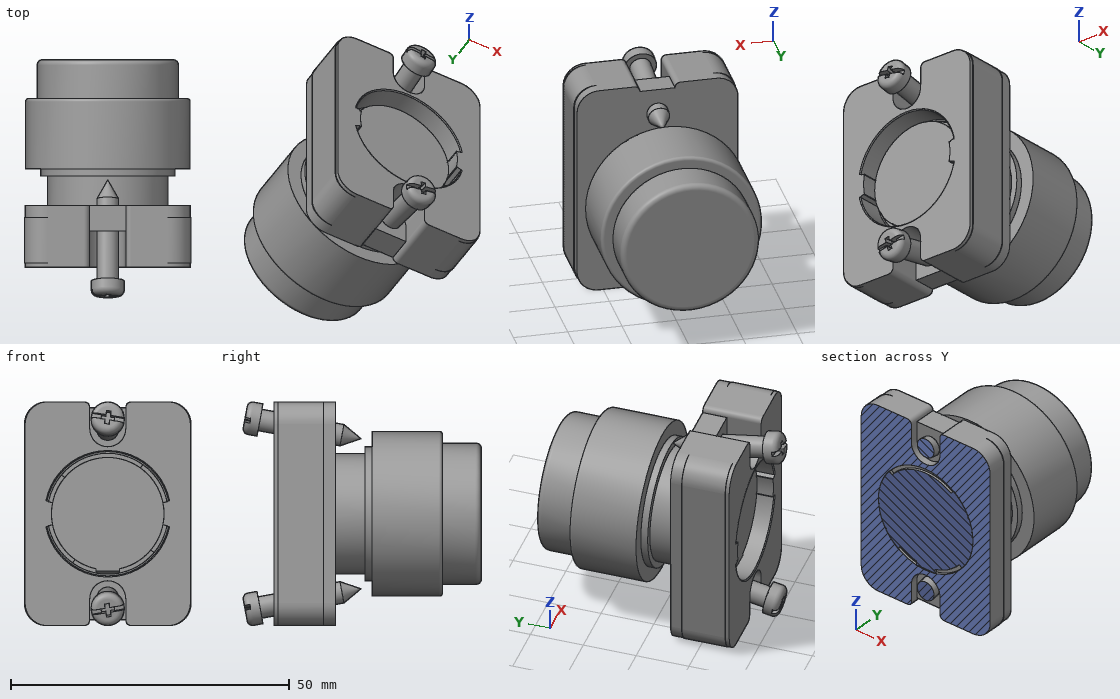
import cadquery as cq
import math


base_width = 29.63
base_height = 40.16
base_depth = 11.1
base_corner_radius = 4.0
band_width = 29.91
band_start = 0.72
band_end = 8.95

slot_width = 6.46
slot_round_z = 15.25
slot_depth = 6.5
slot_floor_top = 19.05
slot_mouth_radius = 1.0

recess_radius = 11.15
recess_chamfer = 0.2
shoulder_y = 5.0
tab_root_half_width = 2.53
tab_tip_half_width = 2.0

spigot_radius = 10.1
spigot_front = 3.1
neck_radius = 10.85
washer_radius = 12.07
washer_front = 16.35
bezel_radius = 14.8
bezel_front = 17.65
bezel_back = 30.3
bezel_fillet = 0.6
shoulder_step = 0.5
step_start_angle = 54.5
step_end_angle = 140.0
key_width = 4.3
key_front_height = 10.26
key_back_height = 10.8

button_radius = 12.7
button_back = 37.26
button_fillet = 1.0

screw_tilt = 10.5
screw_roll = 9.5
screw_tip_y = 15.68
screw_tip_z = 13.46
screw_shank_radius = 1.97
screw_cone_length = 3.5
screw_under_head = 18.45
screw_head_radius = 2.97
screw_head_height = 2.72
screw_head_fillet = 1.05
drive_slot_width = 0.85
drive_slot_depth = 1.0
drive_cross_length = 2.4
drive_cross_depth = 1.8


def cylinder_y(radius, start, end):
    """Cylinder about the control axis from Y = start to Y = end."""
    return cq.Workplane("XZ", origin=(0, start, 0)).circle(radius).extrude(start - end)


def box_y(width, height, start, end):
    """Box centred on the control axis from Y = start to Y = end."""
    return cq.Workplane("XZ", origin=(0, start, 0)).rect(width, height).extrude(start - end)


def make_shank():
    """Pointed shank along Z with its tip at the origin."""
    return (
        cq.Workplane("XZ")
        .lineTo(screw_shank_radius, screw_cone_length)
        .lineTo(screw_shank_radius, screw_under_head)
        .lineTo(0, screw_under_head)
        .close()
        .revolve(360, (0, 0, 0), (0, 1, 0))
    )


def make_screw_head():
    """Rounded head above the shank with a combined slot and cross drive."""
    head = (
        cq.Workplane(origin=(0, 0, screw_under_head))
        .circle(screw_head_radius)
        .extrude(screw_head_height)
        .faces(">Z")
        .edges()
        .fillet(screw_head_fillet)
    )
    top_plane = cq.Workplane(origin=(0, 0, screw_under_head + screw_head_height))
    drive_slot = top_plane.rect(2 * screw_head_radius, drive_slot_width).extrude(-drive_slot_depth)
    head = head.cut(drive_slot)
    for length, width in (
        (drive_cross_length, drive_slot_width),
        (drive_slot_width, drive_cross_length),
    ):
        head = head.cut(top_plane.rect(length, width).extrude(-drive_cross_depth))
    return head


def place_screw(body, side):
    """Roll, tilt and move a screw shape; side is +1 for the upper slot and -1 for the lower one."""
    return (
        body.rotate((0, 0, 0), (0, 0, 1), -side * screw_roll)
        .rotate((0, 0, 0), (1, 0, 0), 90 - side * screw_tilt)
        .translate((0, screw_tip_y, side * screw_tip_z))
    )


def make_screw(side):
    return place_screw(make_shank().union(make_screw_head()), side)


def make_slot(side):
    """Round-ended screw slot, closed behind by a floor that stops short of the base edge."""
    top = base_height / 2
    mouth_start = top - slot_mouth_radius
    half = slot_width / 2
    profile = (
        cq.Workplane("XZ")
        .moveTo(-half, side * slot_round_z)
        .threePointArc((0, side * (slot_round_z - half)), (half, side * slot_round_z))
        .lineTo(half, side * mouth_start)
        .radiusArc((half + slot_mouth_radius, side * top), side * slot_mouth_radius)
        .lineTo(-half - slot_mouth_radius, side * top)
        .radiusArc((-half, side * mouth_start), side * slot_mouth_radius)
        .close()
    )
    slot = profile.extrude(-base_depth)
    floor = box_y(slot_width, 2 * slot_floor_top, slot_depth, base_depth)
    return slot.cut(floor)


def make_recess():
    """Round front recess, interrupted at +X and -X by two inward tabs."""
    recess = cylinder_y(recess_radius, 0, shoulder_y)
    rim = (
        cq.Workplane("XZ")
        .circle(recess_radius + recess_chamfer)
        .workplane(offset=-recess_chamfer)
        .circle(recess_radius)
        .loft()
    )
    recess = recess.union(rim)
    tab_root = recess_radius + 2 * recess_chamfer
    for side in (1, -1):
        tab = (
            cq.Workplane("XZ")
            .moveTo(0, -tab_tip_half_width)
            .lineTo(side * spigot_radius, -tab_tip_half_width)
            .lineTo(side * tab_root, -tab_root_half_width)
            .lineTo(side * tab_root, tab_root_half_width)
            .lineTo(side * spigot_radius, tab_tip_half_width)
            .lineTo(0, tab_tip_half_width)
            .close()
            .extrude(-shoulder_y)
        )
        recess = recess.cut(tab)
    return recess.union(cylinder_y(spigot_radius, 0, shoulder_y))


def make_base():
    """Rounded plate with a slightly wider band, screw slots and a bore for the head."""
    base = box_y(base_width, base_height, 0, base_depth).edges("|Y").fillet(base_corner_radius)
    band = box_y(band_width, base_height, band_start, band_end).edges("|Y").fillet(base_corner_radius)
    base = base.union(band)
    for side in (1, -1):
        base = base.cut(make_slot(side))
        base = base.cut(place_screw(make_shank(), side))
    return base.cut(make_recess()).cut(cylinder_y(neck_radius, shoulder_y, base_depth))


def make_shoulder_sector(start_angle, end_angle):
    """Ring sector by which part of the neck shoulder is set back."""
    def ring_point(radius, angle):
        return (radius * math.cos(math.radians(angle)), radius * math.sin(math.radians(angle)))

    middle_angle = (start_angle + end_angle) / 2
    return (
        cq.Workplane("XZ", origin=(0, shoulder_y, 0))
        .moveTo(*ring_point(spigot_radius, start_angle))
        .lineTo(*ring_point(neck_radius, start_angle))
        .threePointArc(ring_point(neck_radius, middle_angle), ring_point(neck_radius, end_angle))
        .lineTo(*ring_point(spigot_radius, end_angle))
        .threePointArc(ring_point(spigot_radius, middle_angle), ring_point(spigot_radius, start_angle))
        .close()
        .extrude(-shoulder_step)
    )


def make_key():
    """Bar across the spigot whose sloping ends stand out at top and bottom."""
    back = shoulder_y + shoulder_step
    return (
        cq.Workplane("YZ")
        .moveTo(spigot_front, -key_front_height)
        .lineTo(back, -key_back_height)
        .lineTo(back, key_back_height)
        .lineTo(spigot_front, key_front_height)
        .close()
        .extrude(key_width / 2, both=True)
    )


def make_spigot_groove():
    """Material turned away around the spigot, leaving the key ends standing."""
    groove = cylinder_y(2 * neck_radius, spigot_front, shoulder_y)
    groove = groove.cut(cylinder_y(spigot_radius, spigot_front, shoulder_y))
    for turn in (0, 180):
        groove = groove.union(make_shoulder_sector(step_start_angle + turn, step_end_angle + turn))
    return groove.cut(make_key())


def make_head():
    """Neck, washer and bezel with a spigot that faces the front recess."""
    neck = cylinder_y(neck_radius, spigot_front, washer_front)
    washer = cylinder_y(washer_radius, washer_front, bezel_front)
    bezel = cylinder_y(bezel_radius, bezel_front, bezel_back).faces(">Y").edges().fillet(bezel_fillet)
    return neck.union(washer).union(bezel).cut(make_spigot_groove())


def make_button():
    """Push button resting on the back of the bezel."""
    return cylinder_y(button_radius, bezel_back, button_back).faces(">Y").edges().fillet(button_fillet)


base = make_base()
head = make_head()
button = make_button()
screws = [make_screw(side) for side in (1, -1)]

result = cq.Compound.makeCompound(
    [base.val(), head.val(), button.val()] + [screw.val() for screw in screws]
)